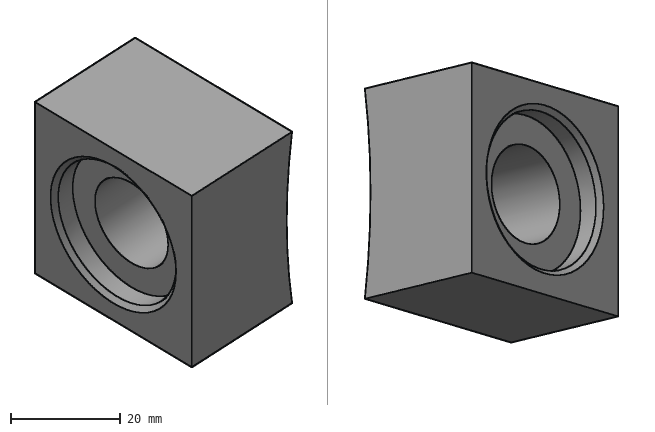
import cadquery as cq

side = 40.0
depth = 26.45
saddle_sag = 1.4

bore_diameter = 18.65
recess_diameter = 30.0
recess_depth = 4.8
recess_chamfer = 1.0

half_side = side / 2
front_y = -depth / 2
back_y = depth / 2


def saddle_block():
    """Square block whose back face is a shallow cylindrical hollow along X."""
    return (
        cq.Workplane("YZ")
        .moveTo(front_y, -half_side)
        .lineTo(back_y, -half_side)
        .threePointArc((back_y - saddle_sag, 0), (back_y, half_side))
        .lineTo(front_y, half_side)
        .close()
        .extrude(half_side, both=True)
    )


def stepped_bore():
    """Through bore with a chamfered recess, as one solid of revolution about Y."""
    bore_radius = bore_diameter / 2
    recess_radius = recess_diameter / 2
    recess_floor_y = front_y + recess_depth
    return (
        cq.Workplane("XY")
        .moveTo(0, front_y)
        .lineTo(recess_radius + recess_chamfer, front_y)
        .lineTo(recess_radius, front_y + recess_chamfer)
        .lineTo(recess_radius, recess_floor_y)
        .lineTo(bore_radius, recess_floor_y)
        .lineTo(bore_radius, back_y)
        .lineTo(0, back_y)
        .close()
        .revolve(360, (0, 0, 0), (0, 1, 0))
    )


result = saddle_block().cut(stepped_bore())